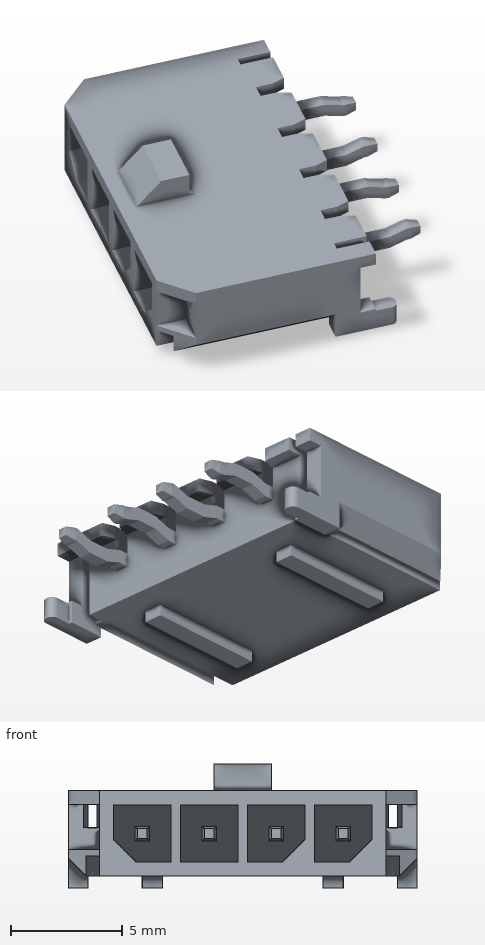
import cadquery as cq


width = 15.65
half_width = width / 2
body_bottom = 0.53
body_top = 4.38
back_wall_y = 9.19
roof_back_y = 9.92
roof_thickness = 0.64
roof_underside = body_top - roof_thickness

circuit_count = 4
pitch = 3.0
pin_z = 2.44
circuit_xs = [(i - (circuit_count - 1) / 2) * pitch for i in range(circuit_count)]

cavity_size = 2.57
cavity_depth = 7.0
key_chamfer = 1.02
key_sides = [-1, 0, 1, 1]

pin_size = 0.64
pin_tip_size = 0.44
pin_tip_length = 0.5
pin_front_y = 2.0
pin_back_y = 13.08
kink_height = 0.27
kink_start_y = 9.67
kink_flat_start_y = 10.5
kink_flat_end_y = 11.58
kink_end_y = 12.43

groove_front_y = 8.53
flare_depth = 0.61
flare_mouth_width = 1.06

corner_chamfer = 1.4
recess_floor = 1.74
window_inset = 0.69
window_bottom = 2.7
channel_top = 1.44

cheek_width = 0.89
slot_width = 0.39
slot_front_y = 8.37
foot_front_y = 8.01
foot_height = 1.11
tab_back_y = 11.0
tab_height = 1.02
tab_width = 0.72
tab_corner_radius = 0.33
edge_chamfer = 0.8

rail_width = 0.92
rail_center_x = 4.05
rail_front_y = 1.7
rail_back_y = 7.67

latch_width = 2.6
latch_top = 5.57
latch_front_y = 0.8
latch_ramp_end_y = 1.97
latch_back_y = 3.3
latch_toe_length = 0.27
latch_toe_height = 0.14


def block(x_range, y_range, z_range):
    """Axis-aligned box between the given limits."""
    (x0, x1), (y0, y1), (z0, z1) = x_range, y_range, z_range
    return cq.Workplane("XY").box(x1 - x0, y1 - y0, z1 - z0, centered=False).translate((x0, y0, z0))


def both_sides(left_shape):
    """The left-hand shape and its mirror image about X = 0."""
    return [left_shape, left_shape.mirror("YZ")]


def make_shell():
    """Main block with chamfered front corners and a roof that overhangs the back wall."""
    shell = (
        cq.Workplane("YZ")
        .polyline([
            (0, body_bottom),
            (back_wall_y, body_bottom),
            (back_wall_y, roof_underside),
            (roof_back_y, roof_underside),
            (roof_back_y, body_top),
            (0, body_top),
        ])
        .close()
        .extrude(half_width, both=True)
    )
    return shell.edges("|Z and <Y").chamfer(corner_chamfer)


def make_left_edge_chamfer():
    """Triangular bar that bevels the lower side edge in front of the foot."""
    return (
        cq.Workplane("XZ")
        .polyline([
            (-half_width, body_bottom),
            (-half_width + edge_chamfer, body_bottom),
            (-half_width, body_bottom + edge_chamfer),
        ])
        .close()
        .extrude(-foot_front_y)
    )


def make_left_foot():
    """Foot under the back of the cheek, with a rounded tab behind it."""
    outer_x = -half_width
    foot = block((outer_x, outer_x + cheek_width), (foot_front_y, roof_back_y), (0, foot_height))
    tab = block((outer_x, outer_x + tab_width), (foot_front_y, tab_back_y), (0, tab_height))
    tab = tab.edges("|Z and >Y").fillet(tab_corner_radius)
    return foot.union(tab)


def make_left_corner_cuts():
    """Recess in the front corner, and a window running back from it."""
    outer_x = -half_width
    inner_x = outer_x + corner_chamfer
    recess = block((outer_x, inner_x), (0, corner_chamfer), (recess_floor, roof_underside))
    window = block((outer_x + window_inset, inner_x), (0, slot_front_y), (window_bottom, roof_underside))
    return recess.union(window)


def make_left_channel():
    """Channel along the underside, from the front corner back to the foot, inside the beveled edge."""
    outer_x = -half_width + edge_chamfer
    inner_x = -half_width + corner_chamfer
    return block((outer_x, inner_x), (0, foot_front_y), (body_bottom, channel_top))


def make_left_slot():
    """Full-height slot that separates the cheek from the back wall and meets the window."""
    slot_x = -half_width + cheek_width
    return block((slot_x, slot_x + slot_width), (slot_front_y, roof_back_y), (0, body_top))


def make_left_rail():
    """Standoff rail along the underside."""
    return block(
        (-rail_center_x - rail_width / 2, -rail_center_x + rail_width / 2),
        (rail_front_y, rail_back_y),
        (0, body_bottom),
    )


def make_latch():
    """Ramp on the roof with an upright back and a small sloping toe."""
    return (
        cq.Workplane("YZ")
        .polyline([
            (latch_front_y, body_top),
            (latch_ramp_end_y, latch_top),
            (latch_back_y, latch_top),
            (latch_back_y, body_top + latch_toe_height),
            (latch_back_y + latch_toe_length, body_top),
        ])
        .close()
        .extrude(latch_width / 2, both=True)
    )


def make_cavity(x, key_side):
    """Square cavity, with one lower corner cut off where it is keyed."""
    half = cavity_size / 2
    cavity = block((x - half, x + half), (0, cavity_depth), (pin_z - half, pin_z + half))
    if key_side != 0:
        keyed_side = "<X" if key_side < 0 else ">X"
        cavity = cavity.faces("<Z").edges(keyed_side).chamfer(key_chamfer)
    return cavity


def make_groove(x):
    """Groove open upward above the pin, flared where it leaves the roof."""
    flare_front_y = roof_back_y - flare_depth
    return (
        cq.Workplane("XY", origin=(x, 0, pin_z))
        .polyline([
            (-pin_size / 2, groove_front_y),
            (pin_size / 2, groove_front_y),
            (pin_size / 2, flare_front_y),
            (flare_mouth_width / 2, roof_back_y),
            (-flare_mouth_width / 2, roof_back_y),
            (-pin_size / 2, flare_front_y),
        ])
        .close()
        .extrude(body_top - pin_z)
    )


def make_pin_tip(shoulder_y, direction):
    """Tapered end of a pin on its straight axis; direction is 1 to the back, -1 to the front."""
    return (
        cq.Workplane("XZ", origin=(0, shoulder_y, pin_z))
        .rect(pin_size, pin_size)
        .workplane(offset=-direction * pin_tip_length)
        .rect(pin_tip_size, pin_tip_size)
        .loft(combine=True)
    )


def make_pin(x, kink_direction):
    """Square pin with tapered ends and a kink up (1) or down (-1) behind the housing."""
    front_shoulder_y = pin_front_y + pin_tip_length
    back_shoulder_y = pin_back_y - pin_tip_length
    kinked_z = pin_z + kink_direction * kink_height
    axis = [
        (front_shoulder_y, pin_z),
        (kink_start_y, pin_z),
        (kink_flat_start_y, kinked_z),
        (kink_flat_end_y, kinked_z),
        (kink_end_y, pin_z),
        (back_shoulder_y, pin_z),
    ]
    lower_side = [(y, z - pin_size / 2) for y, z in axis]
    upper_side = [(y, z + pin_size / 2) for y, z in reversed(axis)]
    shank = cq.Workplane("YZ").polyline(lower_side + upper_side).close().extrude(pin_size / 2, both=True)
    pin = shank.union(make_pin_tip(front_shoulder_y, -1)).union(make_pin_tip(back_shoulder_y, 1))
    return pin.translate((x, 0, 0))


def make_housing(pins):
    """Housing with its cavities, side features and a fitted hole for every pin."""
    housing = make_shell().union(make_latch())
    for make_left_addition in (make_left_foot, make_left_rail):
        for addition in both_sides(make_left_addition()):
            housing = housing.union(addition)
    for make_left_cut in (make_left_edge_chamfer, make_left_corner_cuts, make_left_channel, make_left_slot):
        for cut in both_sides(make_left_cut()):
            housing = housing.cut(cut)
    for x, key_side in zip(circuit_xs, key_sides):
        housing = housing.cut(make_cavity(x, key_side)).cut(make_groove(x))
    for pin in pins:
        housing = housing.cut(pin)
    return housing


pins = [make_pin(x, 1 if i % 2 == 0 else -1) for i, x in enumerate(circuit_xs)]
housing = make_housing(pins)

bodies = [housing] + pins
result = cq.Compound.makeCompound([body.solids().val() for body in bodies])